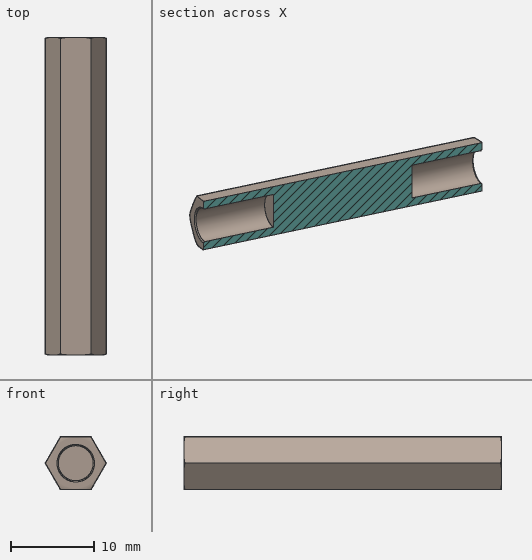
import cadquery as cq
import math

LENGTH = 38.1
ACROSS_FLATS = 6.35
ACROSS_CORNERS = ACROSS_FLATS / math.cos(math.pi / 6)

END_FACE_DIAMETER = 6.13
CORNER_RELIEF_RADIUS = 1.5

BORE_DIAMETER = 4.2
BORE_DEPTH = 9.525
COUNTERSINK_DIAMETER = 4.5
COUNTERSINK_DEPTH = (COUNTERSINK_DIAMETER - BORE_DIAMETER) / 2


def hexagonal_bar():
    """Full-length bar with flats facing +Z and -Z."""
    bar = cq.Workplane("XZ").polygon(6, ACROSS_CORNERS)
    return bar.extrude(LENGTH / 2, both=True)


def relief_envelope():
    """Round bar with rounded end rims that passes through the hexagon corners."""
    face_radius = END_FACE_DIAMETER / 2
    outer_radius = face_radius + CORNER_RELIEF_RADIUS
    bar = cq.Workplane("XZ").circle(outer_radius).extrude(LENGTH / 2, both=True)
    return bar.edges("%CIRCLE").fillet(CORNER_RELIEF_RADIUS)


def front_bore():
    """Flat-bottomed bore with its countersink, entering at the -Y end."""
    mouth = -LENGTH / 2
    bore_radius = BORE_DIAMETER / 2
    profile = cq.Workplane("XY").polyline([
        (0, mouth),
        (COUNTERSINK_DIAMETER / 2, mouth),
        (bore_radius, mouth + COUNTERSINK_DEPTH),
        (bore_radius, mouth + BORE_DEPTH),
        (0, mouth + BORE_DEPTH),
    ]).close()
    return profile.revolve(360, (0, 0, 0), (0, 1, 0))


bore = front_bore()
result = hexagonal_bar().intersect(relief_envelope()).cut(bore).cut(bore.mirror("XZ"))